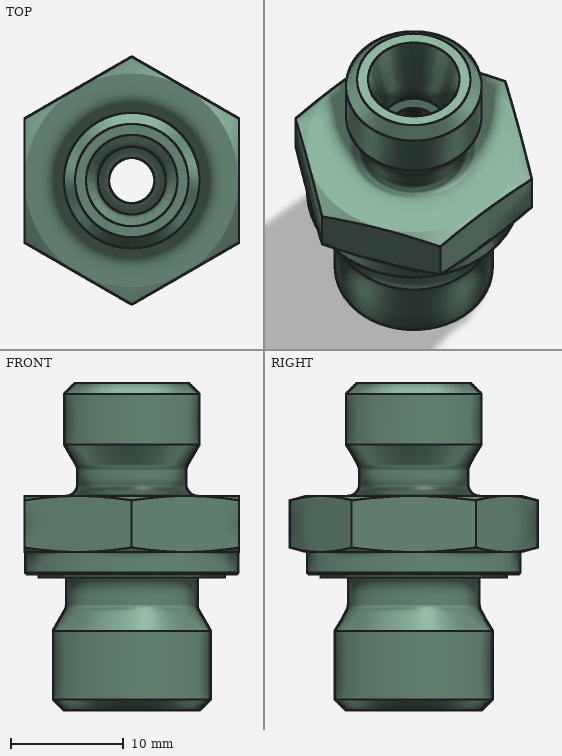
import cadquery as cq
import math

TOTAL_HEIGHT = 29.0
COLLAR_BOTTOM = 12.0
HEX_BOTTOM = 14.0
HEX_TOP = 19.0

HEX_FLATS = 19.02
HEX_CHAMFER_DIAMETER = 18.9
HEX_CHAMFER_ANGLE = 15.0
COLLAR_DIAMETER = 18.9
COLLAR_CHAMFER = 0.2

UPPER_THREAD_DIAMETER = 12.0
UPPER_THREAD_BOTTOM = 23.55
UPPER_NECK_DIAMETER = 9.7
LOWER_THREAD_DIAMETER = 14.0
LOWER_THREAD_TOP = 7.05
LOWER_NECK_DIAMETER = 11.7
THREAD_CHAMFER = 1.0
RUNOUT_ANGLE = 30.0
NECK_FILLET = 1.0

BORE_DIAMETER = 4.0
SOCKET_DIAMETER = 6.0
SOCKET_DEPTH = 7.0
SEAT_MOUTH_DIAMETER = 8.1
SEAT_HALF_ANGLE = 12.0

RING_OUTER_DIAMETER = 16.5
RING_INNER_DIAMETER = LOWER_NECK_DIAMETER
RING_PROTRUSION = 0.25
RECESS_DIAMETER = 16.6
RECESS_DEPTH = 1.25


def cylinder(diameter, bottom, top):
    return cq.Workplane("XY").workplane(offset=bottom).circle(diameter / 2).extrude(top - bottom)


def revolve_profile(points):
    """Revolve a closed (radius, height) outline around the Z axis."""
    return cq.Workplane("XZ").polyline(points).close().revolve(360, (0, 0, 0), (0, 1, 0))


def hexagon():
    """Hexagon with corners on the Y axis, chamfered by a cone at each end."""
    corner_radius = HEX_FLATS / math.sqrt(3)
    face_radius = HEX_CHAMFER_DIAMETER / 2
    drop = (corner_radius - face_radius) * math.tan(math.radians(HEX_CHAMFER_ANGLE))
    prism = (
        cq.Workplane("XY")
        .workplane(offset=HEX_BOTTOM)
        .transformed(rotate=(0, 0, 90))
        .polygon(6, 2 * corner_radius)
        .extrude(HEX_TOP - HEX_BOTTOM)
    )
    envelope = revolve_profile([
        (0, HEX_BOTTOM),
        (face_radius, HEX_BOTTOM),
        (corner_radius, HEX_BOTTOM + drop),
        (corner_radius, HEX_TOP - drop),
        (face_radius, HEX_TOP),
        (0, HEX_TOP),
    ])
    return prism.intersect(envelope)


def threaded_end(thread_diameter, neck_diameter, thread_length, neck_end):
    """Thread end starting at Z = 0, with a conical runout blended into its neck."""
    thread_radius = thread_diameter / 2
    neck_radius = neck_diameter / 2
    runout_length = (thread_radius - neck_radius) / math.tan(math.radians(RUNOUT_ANGLE))
    runout_end = thread_length + runout_length

    half_turn = math.radians(RUNOUT_ANGLE / 2)
    blend_start = runout_end - NECK_FILLET * math.tan(half_turn) * math.cos(2 * half_turn)
    blend_end = runout_end + NECK_FILLET * math.tan(half_turn)
    blend_start_radius = neck_radius + NECK_FILLET * (1 - math.cos(2 * half_turn))
    blend_middle = (
        neck_radius + NECK_FILLET * (1 - math.cos(half_turn)),
        blend_end - NECK_FILLET * math.sin(half_turn),
    )
    return (
        cq.Workplane("XZ")
        .moveTo(0, 0)
        .lineTo(thread_radius - THREAD_CHAMFER, 0)
        .lineTo(thread_radius, THREAD_CHAMFER)
        .lineTo(thread_radius, thread_length)
        .lineTo(blend_start_radius, blend_start)
        .threePointArc(blend_middle, (neck_radius, blend_end))
        .lineTo(neck_radius, neck_end)
        .lineTo(0, neck_end)
        .close()
        .revolve(360, (0, 0, 0), (0, 1, 0))
    )


def upper_end():
    """Tube end, turned over so that its thread points up."""
    end = threaded_end(
        UPPER_THREAD_DIAMETER,
        UPPER_NECK_DIAMETER,
        TOTAL_HEIGHT - UPPER_THREAD_BOTTOM,
        TOTAL_HEIGHT - HEX_TOP,
    )
    return end.rotate((0, 0, 0), (1, 0, 0), 180).translate((0, 0, TOTAL_HEIGHT))


def root_fillet():
    """Concave ring of material between the upper neck and the hexagon."""
    neck_radius = UPPER_NECK_DIAMETER / 2
    arc_inset = NECK_FILLET * (1 - math.sqrt(0.5))
    return (
        cq.Workplane("XZ")
        .moveTo(0, HEX_TOP)
        .lineTo(neck_radius + NECK_FILLET, HEX_TOP)
        .threePointArc(
            (neck_radius + arc_inset, HEX_TOP + arc_inset),
            (neck_radius, HEX_TOP + NECK_FILLET),
        )
        .lineTo(0, HEX_TOP + NECK_FILLET)
        .close()
        .revolve(360, (0, 0, 0), (0, 1, 0))
    )


def collar():
    """Round collar under the hexagon, with the ring recess around the lower neck."""
    disc = cylinder(COLLAR_DIAMETER, COLLAR_BOTTOM, HEX_BOTTOM).faces("<Z").chamfer(COLLAR_CHAMFER)
    recess = cylinder(RECESS_DIAMETER, COLLAR_BOTTOM, COLLAR_BOTTOM + RECESS_DEPTH)
    return disc.cut(recess)


def bore():
    """Through bore, tube socket and conical seat."""
    mouth_radius = SEAT_MOUTH_DIAMETER / 2
    socket_radius = SOCKET_DIAMETER / 2
    seat_depth = (mouth_radius - socket_radius) / math.tan(math.radians(SEAT_HALF_ANGLE))
    return revolve_profile([
        (0, 0),
        (BORE_DIAMETER / 2, 0),
        (BORE_DIAMETER / 2, TOTAL_HEIGHT - SOCKET_DEPTH),
        (socket_radius, TOTAL_HEIGHT - SOCKET_DEPTH),
        (socket_radius, TOTAL_HEIGHT - seat_depth),
        (mouth_radius, TOTAL_HEIGHT),
        (0, TOTAL_HEIGHT),
    ])


def fitting_body():
    lower_end = threaded_end(
        LOWER_THREAD_DIAMETER, LOWER_NECK_DIAMETER, LOWER_THREAD_TOP, HEX_BOTTOM
    )
    outside = hexagon().union(collar()).union(lower_end).union(upper_end()).union(root_fillet())
    return outside.cut(bore())


def sealing_ring():
    """Flat ring seated on the recess floor and standing slightly proud of the collar."""
    bottom = COLLAR_BOTTOM - RING_PROTRUSION
    top = COLLAR_BOTTOM + RECESS_DEPTH
    return cylinder(RING_OUTER_DIAMETER, bottom, top).cut(cylinder(RING_INNER_DIAMETER, bottom, top))


fitting = fitting_body().solids()
seal = sealing_ring()

result = cq.Compound.makeCompound([fitting.val(), seal.val()])